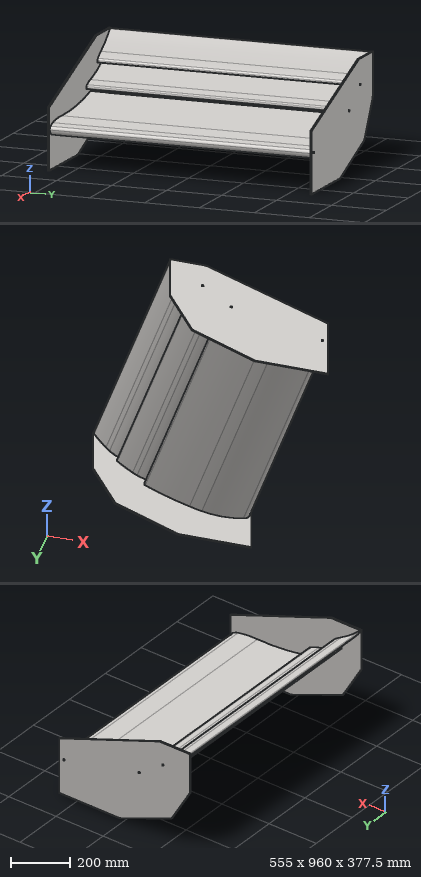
import cadquery as cq


overall_length = 555.0
overall_span = 960.0
overall_height = 377.5
plate_thickness = 5.0
top_edge_length = 127.5
leading_edge_height = 220.0
trailing_corner_height = 220.0
lower_corner_x = 78.0
lower_corner_z = 86.0
bottom_edge_start_x = 297.5
pin_hole_diameter = 5.0

wing_span = overall_span - 2 * plate_thickness
flap_scale = 0.4
middle_flap_pitch = 15.0
top_flap_pitch = 30.0
main_pin = (534.9, 141.6)
middle_flap_pin = (215.2, 217.5)
top_flap_pin = (114.8, 287.4)

trailing_top = (-351.0, 55.0)
trailing_tip = (-356.5, 50.3)
trailing_bottom = (-353.5, 45.5)
upper_hollow_end = (-92.9, 25.9)
upper_crown_end = (-11.4, 19.4)
upper_nose_start = (8.2, 11.3)
nose_tip = (15.2, -0.3)
lower_nose_end = (-9.0, -22.5)
belly_start = (-155.0, -23.4)
lower_rear_end = (-198.0, -12.1)
upper_hollow_radius = 953.0
upper_crown_radius = 325.0
upper_shoulder_radius = 60.0
nose_radius = 14.0
lower_nose_radius = 26.0
belly_radius = 327.0
lower_middle_radius = 700.0
lower_rear_radius = 1133.0


def make_end_plate(lower_y):
    """Flat plate with three pin holes, from the face at lower_y to one thickness further along +Y."""
    outline = [
        (0, overall_height),
        (top_edge_length, overall_height),
        (overall_length, leading_edge_height),
        (overall_length, 0),
        (bottom_edge_start_x, 0),
        (lower_corner_x, lower_corner_z),
        (0, trailing_corner_height),
    ]
    pins = [main_pin, middle_flap_pin, top_flap_pin]
    return (
        cq.Workplane("XZ", origin=(0, lower_y, 0))
        .polyline(outline)
        .close()
        .pushPoints(pins)
        .circle(pin_hole_diameter / 2)
        .extrude(-plate_thickness)
    )


def make_wing_element(pin, scale, pitch):
    """Full-span wing element: the main section scaled about its pin, then pitched."""

    def sized(point):
        return (point[0] * scale, point[1] * scale)

    section = (
        cq.Workplane("XZ")
        .moveTo(*sized(trailing_top))
        .radiusArc(sized(upper_hollow_end), -upper_hollow_radius * scale)
        .radiusArc(sized(upper_crown_end), upper_crown_radius * scale)
        .radiusArc(sized(upper_nose_start), upper_shoulder_radius * scale)
        .radiusArc(sized(nose_tip), nose_radius * scale)
        .radiusArc(sized(lower_nose_end), lower_nose_radius * scale)
        .radiusArc(sized(belly_start), belly_radius * scale)
        .radiusArc(sized(lower_rear_end), lower_middle_radius * scale)
        .radiusArc(sized(trailing_bottom), lower_rear_radius * scale)
        .threePointArc(sized(trailing_tip), sized(trailing_top))
        .close()
    )
    return (
        section.extrude(wing_span / 2, both=True)
        .rotate((0, 0, 0), (0, 1, 0), pitch)
        .translate((pin[0], 0, pin[1]))
    )


end_plates = [make_end_plate(y) for y in (-overall_span / 2, wing_span / 2)]
main_plane = make_wing_element(main_pin, 1.0, 0.0)
middle_flap = make_wing_element(middle_flap_pin, flap_scale, middle_flap_pitch)
top_flap = make_wing_element(top_flap_pin, flap_scale, top_flap_pitch)

result = cq.Compound.makeCompound(
    [plate.val() for plate in end_plates] + [main_plane.val(), middle_flap.val(), top_flap.val()]
)